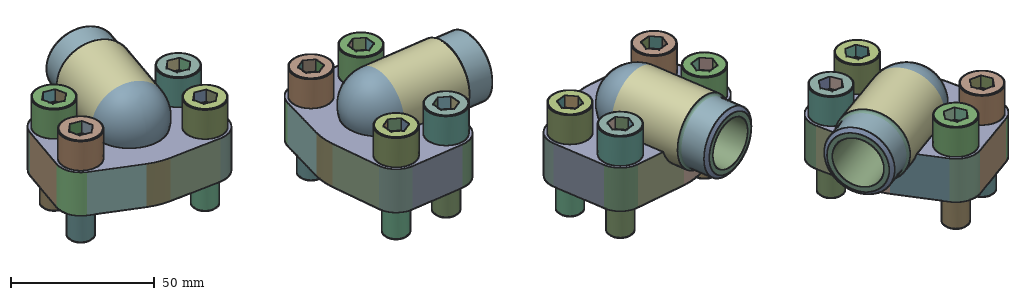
import cadquery as cq
import math

plate_height = 18.0
plate_length = 66.0
side_radius = 24.5

bolt_spacing_x = 22.2
bolt_spacing_y = 47.6
bolt_x = bolt_spacing_x / 2
bolt_y = bolt_spacing_y / 2
corner_radius = plate_length / 2 - bolt_y

head_diameter = 16.0
head_height = 12.4
head_chamfer = 0.3
shank_diameter = 10.0
shank_length = 14.5
shank_chamfer = 0.85
socket_flats = 8.0
socket_depth = 5.0

pipe_diameter = 28.9
axis_height = 22.0
pipe_end_x = -41.0
shoulder_x = -29.0
spigot_diameter = 26.9
spigot_chamfer_radial = 1.6
spigot_chamfer_axial = 1.1
pipe_bore = 19.7
port_bore = 19.0


def make_plate():
    """Plate with four corner arcs and two side arcs joined by tangent lines."""
    bolt_distance = math.hypot(bolt_x, bolt_y)
    bolt_angle = math.atan2(bolt_y, bolt_x)
    normal_angle = bolt_angle - math.acos((side_radius - corner_radius) / bolt_distance)
    top_angle = math.pi / 2
    mid_angle = (normal_angle + top_angle) / 2

    def corner_point(angle):
        x = bolt_x + corner_radius * math.cos(angle)
        y = bolt_y + corner_radius * math.sin(angle)
        return (x, y)

    side_x = side_radius * math.cos(normal_angle)
    side_y = side_radius * math.sin(normal_angle)
    corner_low_x, corner_low_y = corner_point(normal_angle)
    corner_mid_x, corner_mid_y = corner_point(mid_angle)
    corner_top_x, corner_top_y = corner_point(top_angle)

    outline = cq.Workplane("XY").moveTo(corner_top_x, -corner_top_y)
    for turn in (1, -1):
        outline = (
            outline
            .threePointArc(
                (turn * corner_mid_x, -turn * corner_mid_y),
                (turn * corner_low_x, -turn * corner_low_y),
            )
            .lineTo(turn * side_x, -turn * side_y)
            .threePointArc((turn * side_radius, 0), (turn * side_x, turn * side_y))
            .lineTo(turn * corner_low_x, turn * corner_low_y)
            .threePointArc(
                (turn * corner_mid_x, turn * corner_mid_y),
                (turn * corner_top_x, turn * corner_top_y),
            )
            .lineTo(-turn * corner_top_x, turn * corner_top_y)
        )
    return outline.close().extrude(plate_height)


def make_elbow():
    """Pipe, spigot and ball end, turned around the horizontal pipe axis."""
    pipe_radius = pipe_diameter / 2
    spigot_radius = spigot_diameter / 2
    shoulder_fillet = pipe_radius - spigot_radius
    fillet_mid = shoulder_fillet * math.sqrt(0.5)
    ball_mid = pipe_radius * math.sqrt(0.5)
    profile = (
        cq.Workplane("XZ")
        .moveTo(pipe_end_x, 0)
        .lineTo(pipe_end_x, spigot_radius - spigot_chamfer_radial)
        .lineTo(pipe_end_x + spigot_chamfer_axial, spigot_radius)
        .lineTo(shoulder_x - shoulder_fillet, spigot_radius)
        .threePointArc(
            (shoulder_x - shoulder_fillet + fillet_mid, pipe_radius - fillet_mid),
            (shoulder_x, pipe_radius),
        )
        .lineTo(0, pipe_radius)
        .threePointArc((ball_mid, ball_mid), (pipe_radius, 0))
        .close()
    )
    return profile.revolve(360, (0, 0), (1, 0)).translate((0, 0, axis_height))


def make_passage():
    """Horizontal bore with a round end, meeting the vertical port bore."""
    bore_radius = pipe_bore / 2
    run = cq.Workplane("YZ").center(0, axis_height).circle(bore_radius).extrude(pipe_end_x)
    ball = cq.Workplane("XY").sphere(bore_radius).translate((0, 0, axis_height))
    port = cq.Workplane("XY").circle(port_bore / 2).extrude(axis_height)
    return run.union(ball).union(port)


def make_bolt():
    """Socket head bolt standing on the Z axis, passing through the plate."""
    head_top = plate_height + head_height
    shank = (
        cq.Workplane("XY", origin=(0, 0, -shank_length))
        .circle(shank_diameter / 2)
        .extrude(shank_length + plate_height)
        .faces("<Z")
        .chamfer(shank_chamfer)
    )
    head = (
        cq.Workplane("XY", origin=(0, 0, plate_height))
        .circle(head_diameter / 2)
        .extrude(head_height)
        .faces(">Z")
        .chamfer(head_chamfer)
    )
    socket = (
        cq.Workplane("XY", origin=(0, 0, head_top))
        .polygon(6, socket_flats, circumscribed=True)
        .extrude(-socket_depth)
    )
    return shank.union(head).cut(socket)


result = make_plate().union(make_elbow()).cut(make_passage())

bolt = make_bolt()
for sx in (-1, 1):
    for sy in (-1, 1):
        result = result.union(bolt.translate((sx * bolt_x, sy * bolt_y, 0)))